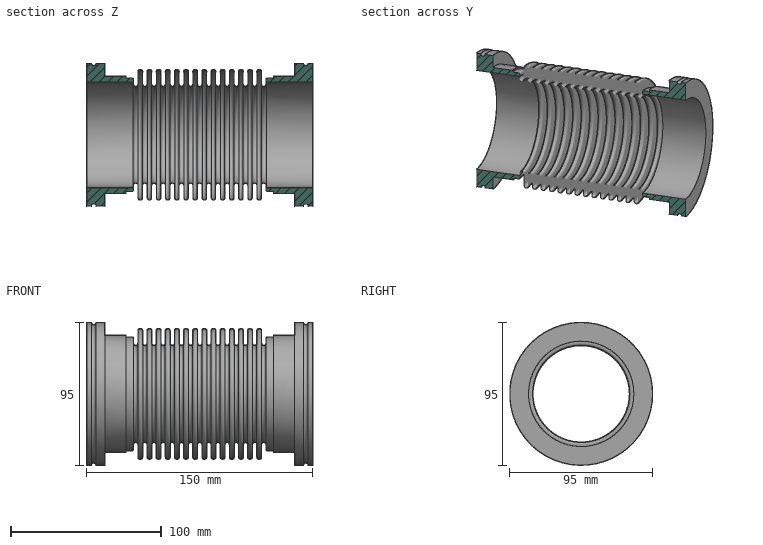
import cadquery as cq

length = 150.0
middle = length / 2
bore_radius = 35.0

flange_diameter = 95.0
flange_radius = flange_diameter / 2
flange_thickness = 12.0
groove_radius = 1.5
groove_center = 4.6

neck_radius = 39.0
neck_end = 26.1
cuff_radius = 37.8
cuff_corner = 1.2

convolution_count = 14
crest_span = 78.9
pitch = crest_span / (convolution_count - 1)
wall = 0.3
crest_radius = 43.5
root_radius = 32.0

small_bend = pitch / 4 - wall / 2
large_bend = pitch / 4 + wall / 2

first_root = middle - crest_span / 2 - pitch / 2
wall_start = first_root - large_bend
cuff_end = first_root - small_bend


def end_fitting():
    """Flange, neck and cuff at the low-X end, with the bore running through to the bellows wall."""
    profile = (
        cq.Workplane("XY")
        .moveTo(0, bore_radius)
        .lineTo(0, flange_radius)
        .lineTo(groove_center - groove_radius, flange_radius)
        .threePointArc(
            (groove_center, flange_radius - groove_radius),
            (groove_center + groove_radius, flange_radius),
        )
        .lineTo(flange_thickness, flange_radius)
        .lineTo(flange_thickness, neck_radius)
        .lineTo(neck_end, neck_radius)
        .lineTo(neck_end, cuff_radius)
        .lineTo(cuff_end - cuff_corner, cuff_radius)
        .radiusArc((cuff_end, cuff_radius - cuff_corner), cuff_corner)
        .lineTo(cuff_end, bore_radius)
        .close()
    )
    return profile.revolve(360, (0, 0, 0), (1, 0, 0))


def bend(path, start_x, end_x, tip, base):
    """Add a flat wall up to the radius `base`, then a half-circle bend that peaks at the radius `tip`."""
    return path.lineTo(start_x, base).threePointArc(((start_x + end_x) / 2, tip), (end_x, base))


def bellows():
    """Thin wall waving from root to crest and back, closed along its inner face."""
    root_base = root_radius + large_bend
    crest_base = crest_radius - large_bend
    root_places = [first_root + index * pitch for index in range(convolution_count + 1)]
    outer_root = root_radius + wall
    inner_crest = crest_radius - wall

    path = cq.Workplane("XY").moveTo(cuff_end, bore_radius)
    for root in root_places:
        path = bend(path, root - small_bend, root + small_bend, outer_root, root_base)
        if root != root_places[-1]:
            crest = root + pitch / 2
            path = bend(path, crest - large_bend, crest + large_bend, crest_radius, crest_base)
    path = path.lineTo(length - cuff_end, bore_radius).lineTo(length - wall_start, bore_radius)
    for root in reversed(root_places):
        path = bend(path, root + large_bend, root - large_bend, root_radius, root_base)
        if root != root_places[0]:
            crest = root - pitch / 2
            path = bend(path, crest + small_bend, crest - small_bend, inner_crest, crest_base)
    path = path.lineTo(wall_start, bore_radius).close()
    return path.revolve(360, (0, 0, 0), (1, 0, 0))


near_end = end_fitting()
far_end = near_end.mirror("YZ", (middle, 0, 0))
result = near_end.union(bellows()).union(far_end)